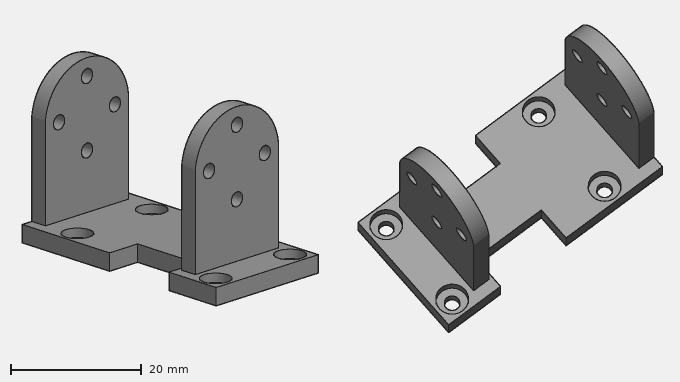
import cadquery as cq

length = 42.0
width = 22.0
thickness = 3.0
neck_width = 10.0
neck_start = 18.95
neck_end = 31.8

ear_thickness = 3.0
ear_width = 17.95
ear_starts = (0.0, 32.45)
height = 27.97
shoulder_z = 19.9

hole_diameter = 2.4
ear_hole_center_z = 19.0
ear_hole_radius = 6.0
ear_hole_count = 4

mount_xs = (8.95, 38.9)
mount_spacing = 16.0
counterbore_diameter = 5.0
counterbore_depth = 1.5


def make_base():
    base = cq.Workplane("XY").box(length, width, thickness, centered=(False, True, False))
    notch_depth = (width - neck_width) / 2
    notch_y = (width + neck_width) / 4
    notches = (
        cq.Workplane("XY")
        .pushPoints([((neck_start + neck_end) / 2, side * notch_y) for side in (-1, 1)])
        .rect(neck_end - neck_start, notch_depth)
        .extrude(thickness)
    )
    mounts = [(x, side * mount_spacing / 2) for x in mount_xs for side in (-1, 1)]
    return (
        base.cut(notches)
        .faces(">Z")
        .workplane(origin=(0, 0, 0))
        .pushPoints(mounts)
        .cboreHole(hole_diameter, counterbore_diameter, counterbore_depth)
    )


def make_ear(start_x):
    plane = cq.Workplane("YZ", origin=(start_x, 0, 0))
    half_width = ear_width / 2
    ear = (
        plane.moveTo(-half_width, 0)
        .lineTo(half_width, 0)
        .lineTo(half_width, shoulder_z)
        .threePointArc((0, height), (-half_width, shoulder_z))
        .close()
        .extrude(ear_thickness)
    )
    holes = (
        plane.center(0, ear_hole_center_z)
        .polarArray(ear_hole_radius, 0, 360, ear_hole_count)
        .circle(hole_diameter / 2)
        .extrude(ear_thickness)
    )
    return ear.cut(holes)


result = make_base()
for ear_start in ear_starts:
    result = result.union(make_ear(ear_start))